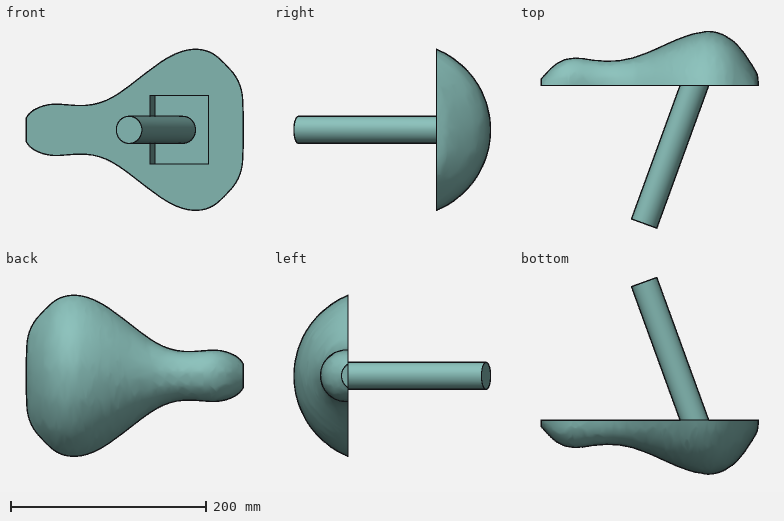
import cadquery as cq
import math

SHELL_SECTIONS = [
    (0, 12.0, 6.7),
    (2.7, 15.8, 9.5),
    (10.7, 21.8, 18.2),
    (26.7, 26.3, 27.4),
    (53.5, 25.0, 26.3),
    (80, 29.4, 25.8),
    (106.8, 45.8, 33.0),
    (133.5, 66.3, 44.7),
    (155.7, 79.0, 53.0),
    (173.5, 82.5, 55.5),
    (191.3, 77.9, 49.5),
    (204.7, 66.3, 37.4),
    (214.7, 54.3, 23.0),
    (219.8, 43.0, 14.7),
    (221.8, 30.7, 8.7),
    (222.5, 17.1, 2.7),
]

ROD_TILT = 20.0
ROD_DIAMETER = 27.8
ROD_END_X = 105.5
ROD_END_Y = -141.3

POCKET_LEFT = 126.8
POCKET_RIGHT = 186.7
POCKET_FLOOR_LEFT = 131.7
POCKET_WIDTH = 70.0

tilt = math.radians(ROD_TILT)


def section_arc(x, half_width, height):
    """Closed section: an arc over the chord lying on the flat face."""
    return (
        cq.Workplane("YZ", origin=(x, 0, 0))
        .moveTo(0, -half_width)
        .threePointArc((height, 0), (0, half_width))
        .close()
        .val()
    )


def make_shell():
    sections = [section_arc(*section) for section in SHELL_SECTIONS]
    return cq.Workplane(cq.Solid.makeLoft(sections))


def make_pocket():
    floor_depth = (POCKET_RIGHT - POCKET_FLOOR_LEFT) * math.tan(tilt)
    return (
        cq.Workplane("XY")
        .moveTo(POCKET_LEFT, 0)
        .lineTo(POCKET_RIGHT, 0)
        .lineTo(POCKET_FLOOR_LEFT, floor_depth)
        .close()
        .extrude(POCKET_WIDTH / 2, both=True)
    )


def make_rod():
    floor_distance = (POCKET_RIGHT - ROD_END_X) * math.sin(tilt) - ROD_END_Y * math.cos(tilt)
    return cq.Workplane(
        cq.Solid.makeCylinder(
            ROD_DIAMETER / 2,
            floor_distance,
            cq.Vector(ROD_END_X, ROD_END_Y, 0),
            cq.Vector(math.sin(tilt), math.cos(tilt), 0),
        )
    )


result = make_shell().cut(make_pocket()).union(make_rod())